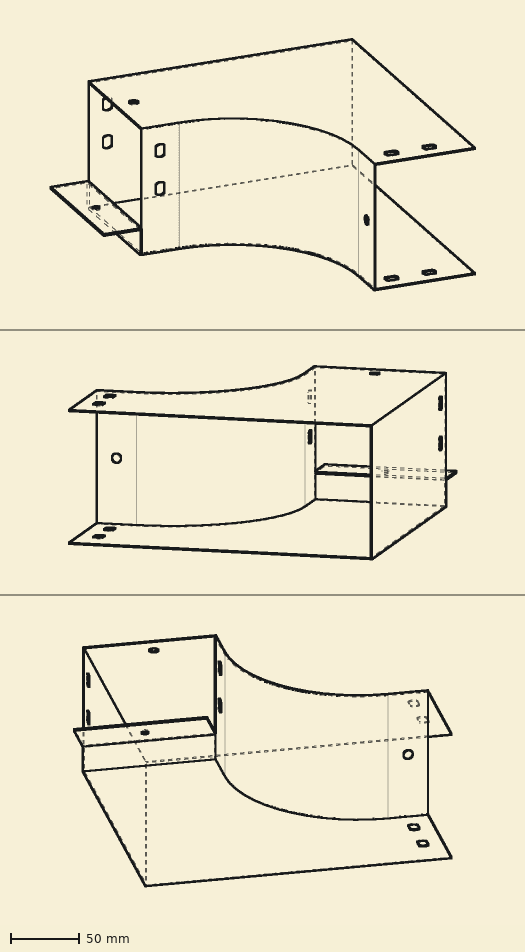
import cadquery as cq

length_x = 230.0
length_y = 240.0
height = 100.0
wall = 1.0

leg_width = 99.8
bend_radius = 100.0
side_leg_front = 160.0
bend_center_x = leg_width + bend_radius
bend_center_y = side_leg_front - bend_radius

flange_length = 30.0
flange_thickness = 1.5
plate_protrusion = 1.0
flange_bottom = 20.0

hole_diameter = 7.0
flange_hole_diameter = 5.0
slot_length = 10.0
slot_width = 7.0
slot_pitch = 30.0
slot_edge_distance = 20.0
hole_inset = 15.0

end_y = flange_length
fixing_y = end_y + hole_inset
fixing_x = length_x - hole_inset
leg_middle = leg_width / 2
mid_height = height / 2
first_slot_z = height - slot_edge_distance
first_slot_y = length_y - slot_pitch


def box(x0, y0, z0, dx, dy, dz):
    return cq.Workplane("XY").box(dx, dy, dz, centered=False).translate((x0, y0, z0))


def plan_prism(inset, bottom, depth, overrun=0.0):
    """Elbow plan, inset at the side walls and run past its open ends."""
    front = end_y - overrun
    back = length_y + overrun
    right = length_x + overrun
    radius = bend_radius + inset
    inner_x = leg_width - inset
    inner_y = side_leg_front + inset
    diagonal = radius * 0.5**0.5
    return (
        cq.Workplane("XY", origin=(0, 0, bottom))
        .moveTo(inset, front)
        .lineTo(inner_x, front)
        .lineTo(inner_x, bend_center_y)
        .threePointArc(
            (bend_center_x - diagonal, bend_center_y + diagonal),
            (bend_center_x, inner_y),
        )
        .lineTo(right, inner_y)
        .lineTo(right, back)
        .lineTo(inset, back)
        .close()
        .extrude(depth)
    )


def vertical_hole(x, y, diameter, bottom, depth):
    return cq.Workplane("XY", origin=(x, y, bottom)).circle(diameter / 2).extrude(depth)


def slot_cutter(plane, origin, depth):
    """Round cutter flattened on two sides to the slot width."""
    base = cq.Workplane(plane, origin=origin)
    flats = base.rect(slot_width, slot_length).extrude(depth)
    return base.circle(slot_length / 2).extrude(depth).intersect(flats)


outside = plan_prism(0, 0, height)
inside = plan_prism(wall, wall, height - 2 * wall, overrun=2.5)
result = outside.cut(inside)

flange = box(0, 0, flange_bottom, leg_width, end_y, flange_thickness)
closing_plate = box(0, end_y - plate_protrusion, 0, leg_width, flange_thickness, flange_bottom)
result = result.union(flange).union(closing_plate)

result = result.cut(
    vertical_hole(leg_middle, end_y / 2, flange_hole_diameter, flange_bottom, flange_thickness)
)
result = result.cut(vertical_hole(leg_middle, fixing_y, hole_diameter, height - wall, wall))
side_hole = (
    cq.Workplane("XZ", origin=(fixing_x, side_leg_front + wall, mid_height))
    .circle(hole_diameter / 2)
    .extrude(wall)
)
result = result.cut(side_hole)

for row in range(2):
    offset = row * slot_pitch
    wall_slot = slot_cutter("YZ", (0, fixing_y, first_slot_z - offset), leg_width)
    sheet_slot = slot_cutter("XY", (fixing_x, first_slot_y - offset, 0), height)
    result = result.cut(wall_slot).cut(sheet_slot)